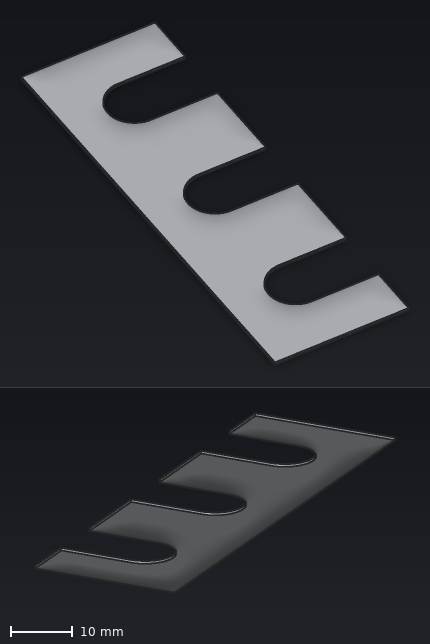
import cadquery as cq

length = 80.01
width = 25.4
thickness = 0.5

slot_count = 3
slot_pitch = 25.4
slot_width = 10.16
slot_depth = 17.78

slot_radius = slot_width / 2
back_edge_y = width / 2
slot_center_y = back_edge_y - slot_depth + slot_radius


def make_plate():
    return cq.Workplane("XY").box(length, width, thickness, centered=(True, True, False))


def make_slot(center_x):
    """U-shaped cutter: straight sides open at +Y, full-round end toward -Y."""
    left_x = center_x - slot_radius
    right_x = center_x + slot_radius
    return (
        cq.Workplane("XY")
        .moveTo(left_x, back_edge_y)
        .lineTo(left_x, slot_center_y)
        .threePointArc((center_x, slot_center_y - slot_radius), (right_x, slot_center_y))
        .lineTo(right_x, back_edge_y)
        .close()
        .extrude(thickness)
    )


result = make_plate()
first_slot_x = -slot_pitch * (slot_count - 1) / 2
for index in range(slot_count):
    result = result.cut(make_slot(first_slot_x + index * slot_pitch))